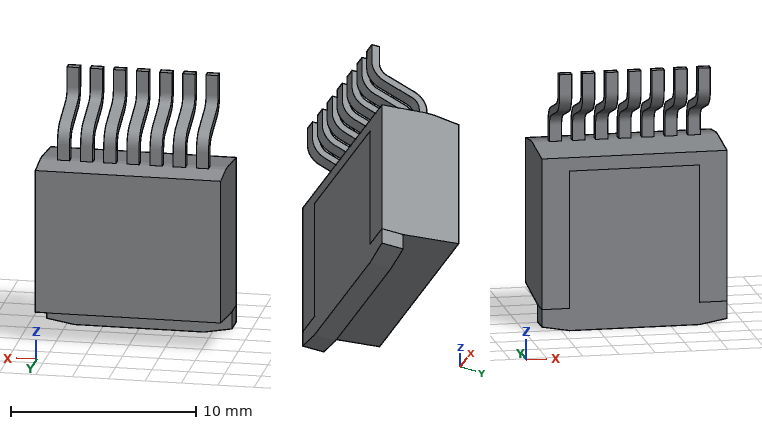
import cadquery as cq
import math


package_width = 10.2
package_depth = 4.58
package_bottom = 1.25
package_back_bottom = 1.67
package_front_top = 9.62
package_back_top = 9.72
package_peak = 9.91

tab_thickness = 1.26
slug_width = 7.15
slug_top = 8.88
tab_bevel_height = 0.27

lead_count = 7
lead_pitch = 1.27
lead_width = 0.67
lead_thickness = 0.46
lead_root_back = 1.46
lead_front_overhang = 0.16
lead_bend_start = 10.83
lead_tip = 14.3
bend_inner_radius = 0.69
bend_angle = 70.0

root_back_y = package_depth - lead_root_back
root_front_y = root_back_y - lead_thickness


def make_tab():
    half_width = package_width / 2
    half_slug = slug_width / 2
    return (
        cq.Workplane("XZ")
        .polyline([
            (-half_slug, 0),
            (half_slug, 0),
            (half_width, tab_bevel_height),
            (half_width, package_bottom),
            (half_slug, package_bottom),
            (half_slug, slug_top),
            (-half_slug, slug_top),
            (-half_slug, package_bottom),
            (-half_width, package_bottom),
            (-half_width, tab_bevel_height),
        ])
        .close()
        .extrude(-tab_thickness)
    )


def make_package(tab):
    block = (
        cq.Workplane("YZ")
        .polyline([
            (0, package_bottom),
            (tab_thickness, package_bottom),
            (package_depth, package_back_bottom),
            (package_depth, package_back_top),
            (root_back_y, package_peak),
            (root_front_y, package_peak),
            (0, package_front_top),
        ])
        .close()
        .extrude(package_width / 2, both=True)
    )
    return block.cut(tab)


def make_lead(center_x):
    turn = math.radians(bend_angle)
    radius = bend_inner_radius + lead_thickness / 2
    root_y = root_back_y - lead_thickness / 2
    tip_y = lead_thickness / 2 - lead_front_overhang
    bend_run = radius * (1 - math.cos(turn))
    bend_rise = radius * math.sin(turn)
    slope_run = root_y - tip_y - 2 * bend_run
    slope_rise = slope_run / math.tan(turn)

    half_turn_run = radius * (1 - math.cos(turn / 2))
    half_turn_rise = radius * math.sin(turn / 2)
    bend_end = lead_bend_start + 2 * bend_rise + slope_rise
    path = (
        cq.Workplane("YZ", origin=(center_x, 0, 0))
        .moveTo(root_y, package_peak)
        .lineTo(root_y, lead_bend_start)
        .threePointArc(
            (root_y - half_turn_run, lead_bend_start + half_turn_rise),
            (root_y - bend_run, lead_bend_start + bend_rise),
        )
        .lineTo(tip_y + bend_run, bend_end - bend_rise)
        .threePointArc((tip_y + half_turn_run, bend_end - half_turn_rise), (tip_y, bend_end))
        .lineTo(tip_y, lead_tip)
    )
    return (
        cq.Workplane("XY", origin=(center_x, root_y, package_peak))
        .rect(lead_width, lead_thickness)
        .sweep(path)
    )


tab = make_tab()
package = make_package(tab)

leads = []
for index in range(lead_count):
    lead_x = (index - (lead_count - 1) / 2) * lead_pitch
    leads.append(make_lead(lead_x).val())

result = cq.Compound.makeCompound([package.val(), tab.val(), *leads])